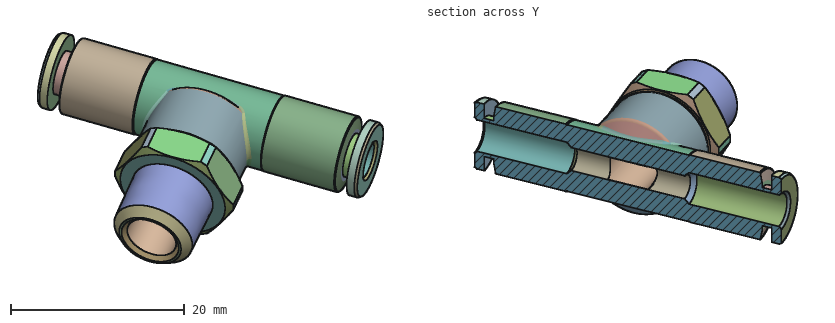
import cadquery as cq
import math

run_length = 39.2
sleeve_diameter = 9.1
branch_reach = 24.55 - sleeve_diameter / 2

body_diameter = 9.0
body_half_length = 7.8
seam_chamfer = 0.1
sleeve_rim_chamfer = 0.1
sleeve_rim_end = 16.8
sleeve_end = 17.15
sleeve_end_diameter = 6.27
neck_diameter = 5.2
collar_diameter = 9.0
collar_thickness = 1.25
collar_chamfer_length = 0.3
collar_chamfer_height = 0.2

passage_diameter = 3.0
port_diameter = 4.15
port_mouth_diameter = 4.8
port_inner_end = body_half_length

socket_diameter = 12.5
socket_shoulder = 1.53
socket_slope = math.radians(58)
socket_shoulder_fillet = 0.5
socket_run_fillet = 0.45
socket_end = 8.3
selection_margin = 0.05

nut_start = 8.5
nut_end = 12.5
nut_across_flats = 13.0
nut_corner_diameter = 14.55
nut_face_diameter = 12.85
nut_chamfer_angle = math.radians(30)
washer_diameter = 12.25

thread_root_diameter = 9.85
thread_tip_diameter = 9.6
thread_chamfer_length = 1.0
thread_face_diameter = 7.6
bore_mouth_diameter = 7.0
bore_diameter = 6.0
bore_mouth_depth = (bore_mouth_diameter - bore_diameter) / 2


def revolve_about_x(profile):
    """Revolve (position, diameter) points about the run axis."""
    points = [(x, diameter / 2) for x, diameter in profile]
    closed = [(points[0][0], 0)] + points + [(points[-1][0], 0)]
    return cq.Workplane("XY").polyline(closed).close().revolve(360, (0, 0), (1, 0))


def revolve_branch(profile):
    """Revolve (distance from run axis, diameter) points about the branch axis."""
    points = [(diameter / 2, -distance) for distance, diameter in profile]
    closed = [(0, points[0][1])] + points + [(0, points[-1][1])]
    return cq.Workplane("XY").polyline(closed).close().revolve(360, (0, 0), (0, 1))


def both_ends(shape):
    return shape.union(shape.mirror("YZ"))


def center_body():
    run = cq.Workplane("YZ").circle(body_diameter / 2).extrude(body_half_length, both=True)
    narrow_diameter = socket_diameter - 2 * socket_shoulder * math.tan(socket_slope)
    socket = revolve_branch([
        (0, narrow_diameter),
        (socket_shoulder, socket_diameter),
        (socket_end, socket_diameter),
    ])
    shoulder = cq.selectors.BoxSelector(
        (-socket_diameter, -socket_shoulder - selection_margin, -socket_diameter),
        (socket_diameter, -socket_shoulder + selection_margin, socket_diameter),
    )
    socket = socket.edges("%CIRCLE").edges(shoulder).fillet(socket_shoulder_fillet)
    body = run.union(socket)
    seam = cq.selectors.BoxSelector(
        (-socket_diameter, -body_diameter, -body_diameter),
        (socket_diameter, body_diameter / 2, body_diameter),
    )
    return body.edges("not(%CIRCLE or %LINE)").edges(seam).fillet(socket_run_fillet)


def run_end():
    collar_inner = run_length / 2 - collar_thickness
    return revolve_about_x([
        (body_half_length, sleeve_diameter - 2 * seam_chamfer),
        (body_half_length + seam_chamfer, sleeve_diameter),
        (sleeve_rim_end, sleeve_diameter),
        (sleeve_rim_end + sleeve_rim_chamfer, sleeve_diameter - 2 * sleeve_rim_chamfer),
        (sleeve_end, sleeve_end_diameter),
        (sleeve_end, neck_diameter),
        (collar_inner, neck_diameter),
        (collar_inner, collar_diameter),
        (run_length / 2 - collar_chamfer_length, collar_diameter),
        (run_length / 2, collar_diameter - 2 * collar_chamfer_height),
    ])


def nut():
    hexagon = (
        cq.Workplane("XZ")
        .workplane(offset=nut_start)
        .polygon(6, nut_across_flats / math.cos(math.pi / 6))
        .extrude(nut_end - nut_start)
    )
    chamfer = (nut_corner_diameter - nut_face_diameter) / 2 * math.tan(nut_chamfer_angle)
    turned_blank = revolve_branch([
        (nut_start, nut_face_diameter),
        (nut_start + chamfer, nut_corner_diameter),
        (nut_end - chamfer, nut_corner_diameter),
        (nut_end, nut_face_diameter),
    ])
    return hexagon.intersect(turned_blank)


def washer():
    return revolve_branch([(socket_end, washer_diameter), (nut_start, washer_diameter)])


def thread_stub():
    return revolve_branch([
        (nut_end, thread_root_diameter),
        (branch_reach - thread_chamfer_length, thread_tip_diameter),
        (branch_reach, thread_face_diameter),
    ])


def branch_bore():
    return revolve_branch([
        (0, bore_diameter),
        (branch_reach - bore_mouth_depth, bore_diameter),
        (branch_reach, bore_mouth_diameter),
    ])


def run_bore():
    seat_depth = (port_diameter - passage_diameter) / 2
    mouth_depth = (port_mouth_diameter - port_diameter) / 2
    return revolve_about_x([
        (0, passage_diameter),
        (port_inner_end - seat_depth, passage_diameter),
        (port_inner_end, port_diameter),
        (run_length / 2 - mouth_depth, port_diameter),
        (run_length / 2, port_mouth_diameter),
    ])


result = (
    center_body()
    .union(both_ends(run_end()))
    .union(washer())
    .union(nut())
    .union(thread_stub())
    .cut(branch_bore())
    .cut(both_ends(run_bore()))
)